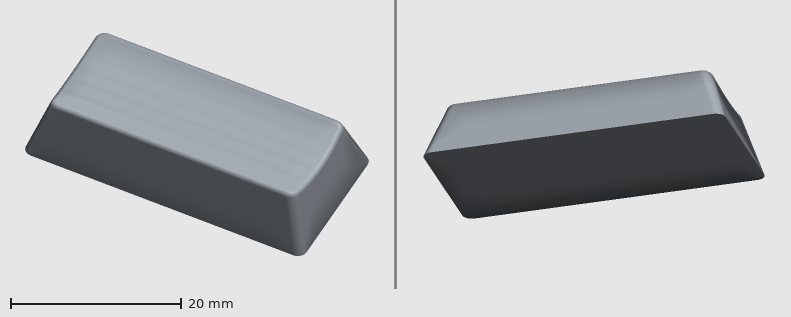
import cadquery as cq

length = 37.05
width = 18.0
draft_angle = 17.9
corner_radius = 1.25
rim_radius = 0.6
dish_radius = 21.5
dish_bottom_height = 6.45

untrimmed_height = 1.7 * dish_bottom_height


def drafted_block():
    """Rectangular block whose four sides lean inwards, with rounded corners."""
    block = cq.Workplane("XY").rect(length, width).extrude(untrimmed_height, taper=draft_angle)
    slanted_edges = block.edges("not(#Z or |X or |Y)")
    return slanted_edges.fillet(corner_radius)


def dish_cutter():
    """Cylinder along X whose lowest line is the bottom of the dish."""
    axis_height = dish_bottom_height + dish_radius
    profile = cq.Workplane("YZ").center(0, axis_height).circle(dish_radius)
    return profile.extrude(length / 2, both=True)


def round_rim(body):
    """Round the whole edge between the dish and the sides."""
    dish_face = body.faces("%CYLINDER").faces(">Z")
    return dish_face.edges().fillet(rim_radius)


result = round_rim(drafted_block().cut(dish_cutter()))